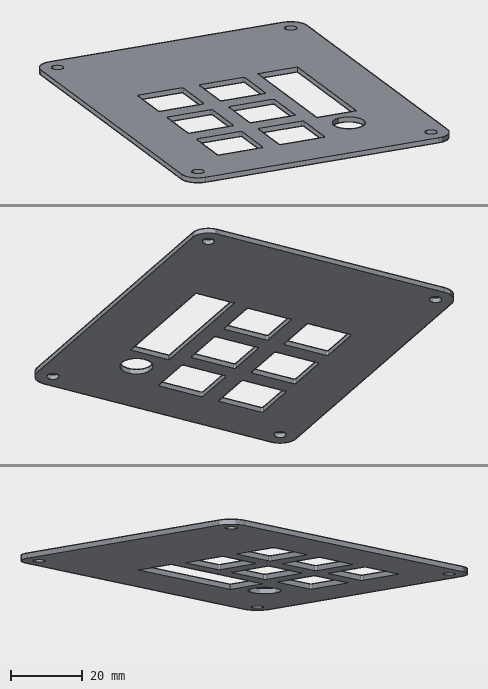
import cadquery as cq

plate_length = 101.0
plate_width = 82.2
plate_thickness = 1.5
corner_radius = 5.0

mounting_hole_diameter = 3.4
mounting_hole_inset = corner_radius

key_columns = 3
key_rows = 2
key_size = 14.0
key_pitch = 19.1
key_corner_radius = 0.5
key_grid_x = 10.1
key_grid_y = -8.9

window_length = 38.2
window_width = 12.2
window_x = 2.2
window_y = 18.4
knob_hole_diameter = 9.2
knob_hole_x = 29.0
knob_hole_y = 18.5


def make_plate():
    """Rounded flat plate, centred on the Z axis and resting on Z = 0."""
    blank = cq.Workplane("XY").box(
        plate_length, plate_width, plate_thickness, centered=(True, True, False)
    )
    return blank.edges("|Z").fillet(corner_radius)


def make_mounting_holes():
    spacing_x = plate_length - 2 * mounting_hole_inset
    spacing_y = plate_width - 2 * mounting_hole_inset
    return (
        cq.Workplane("XY")
        .rarray(spacing_x, spacing_y, 2, 2)
        .circle(mounting_hole_diameter / 2)
        .extrude(plate_thickness)
    )


def make_key_openings():
    openings = (
        cq.Workplane("XY")
        .center(key_grid_x, key_grid_y)
        .rarray(key_pitch, key_pitch, key_columns, key_rows)
        .rect(key_size, key_size)
        .extrude(plate_thickness)
    )
    return openings.edges("|Z").fillet(key_corner_radius)


def make_display_window():
    return (
        cq.Workplane("XY")
        .center(window_x, window_y)
        .rect(window_length, window_width)
        .extrude(plate_thickness)
    )


def make_knob_hole():
    return (
        cq.Workplane("XY")
        .center(knob_hole_x, knob_hole_y)
        .circle(knob_hole_diameter / 2)
        .extrude(plate_thickness)
    )


result = (
    make_plate()
    .cut(make_mounting_holes())
    .cut(make_key_openings())
    .cut(make_display_window())
    .cut(make_knob_hole())
)